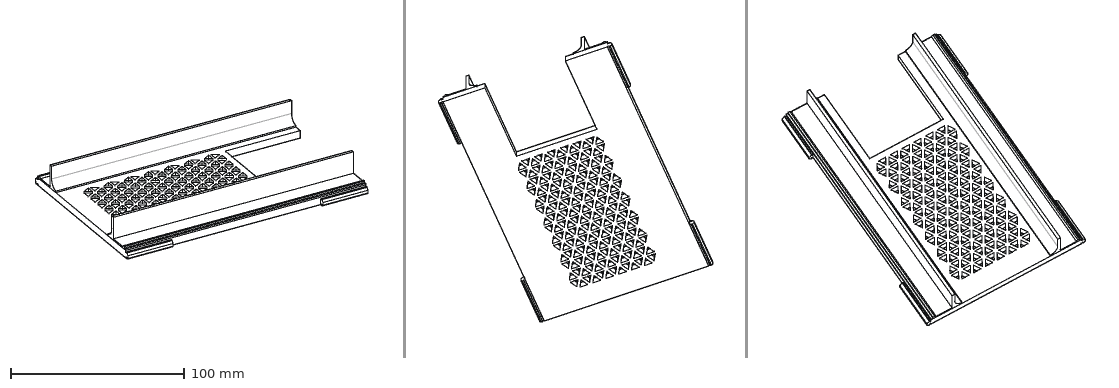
import cadquery as cq
import math

length = 160.0
overall_width = 107.5
overall_height = 20.0
plate_width = 102.0
plate_thickness = 5.0

slot_width = 50.0
slot_depth = 50.0

bead_length = 30.0
bead_nose_bottom = 1.0
bead_nose_top = 2.7
bead_root_top = 3.7
bead_crest = 4.5
bead_root_bottom = 0.5

hole_side = 4.8
hole_height = hole_side * math.sqrt(3) / 2
column_pitch = 8.0
up_columns = 7
first_column_x = -23.0
row_count = 14
row_height = 5.1
lattice_height = 92.0
row_pitch = (lattice_height - row_height) / (row_count - 1)
lattice_top_y = 26.0

flange_thickness = 1.0
wall_outer_x = 36.8
wall_thickness = 2.0
foot_width = 5.0
foot_radius = 5.8
ridge_outer_x = 49.8
ridge_height = 1.0
ridge_top_width = 1.2


def make_bead(side, y_start):
    """Snap bead on one long edge; side is +1 for the +X edge and -1 for the -X edge."""
    root_x = plate_width / 2
    nose_x = overall_width / 2
    crest_x = nose_x - (bead_crest - bead_nose_top)
    profile = [
        (root_x, bead_root_bottom),
        (crest_x, bead_root_bottom),
        (crest_x, 0),
        (nose_x - bead_nose_bottom, 0),
        (nose_x, bead_nose_bottom),
        (nose_x, bead_nose_top),
        (crest_x, bead_crest),
        (crest_x, bead_root_top),
        (root_x, bead_root_top),
    ]
    return (
        cq.Workplane("XZ", origin=(0, y_start, 0))
        .polyline([(side * x, z) for x, z in profile])
        .close()
        .extrude(-bead_length)
    )


def make_triangle_cutter(x, base_y, direction):
    """Triangular prism through the plate; direction is +1 to point to +Y and -1 to -Y."""
    return (
        cq.Workplane("XY")
        .polyline([
            (x - hole_side / 2, base_y),
            (x + hole_side / 2, base_y),
            (x, base_y + direction * hole_height),
        ])
        .close()
        .extrude(plate_thickness)
        .val()
    )


def make_lattice_cutters():
    """All vent holes; even rows start with an upward triangle and odd rows with a downward one."""
    cutters = []
    for row in range(row_count):
        row_top = lattice_top_y - row * row_pitch
        for step in range(2 * up_columns - 1):
            x = first_column_x + step * column_pitch / 2
            if (row + step) % 2 == 0:
                cutters.append(make_triangle_cutter(x, row_top - row_height, 1))
            else:
                cutters.append(make_triangle_cutter(x, row_top, -1))
    return cq.Compound.makeCompound(cutters)


def make_plate():
    plate = cq.Workplane("XY").box(plate_width, length, plate_thickness, centered=(True, True, False))
    slot = (
        cq.Workplane("XY", origin=(0, (length - slot_depth) / 2, 0))
        .box(slot_width, slot_depth, plate_thickness, centered=(True, True, False))
    )
    plate = plate.cut(slot)
    for side in (-1, 1):
        for y_start in (-length / 2, length / 2 - bead_length):
            plate = plate.union(make_bead(side, y_start))
    return plate.cut(cq.Workplane(make_lattice_cutters()))


def make_rail(side):
    """Rail lying on the plate; side is +1 for the +X rail and -1 for the -X rail."""
    flange_top = plate_thickness + flange_thickness
    rail_outer_x = plate_width / 2
    ridge_inner_x = ridge_outer_x - ridge_top_width
    wall_inner_x = wall_outer_x - wall_thickness
    rail_inner_x = wall_inner_x - foot_width
    foot_angle = math.acos((foot_radius - foot_width) / foot_radius)
    arc_center_x = wall_inner_x - foot_radius
    arc_center_z = flange_top + foot_radius * math.sin(foot_angle)
    arc_middle_x = arc_center_x + foot_radius * math.cos(foot_angle / 2)
    arc_middle_z = arc_center_z - foot_radius * math.sin(foot_angle / 2)
    return (
        cq.Workplane("XZ", origin=(0, -length / 2, 0))
        .moveTo(side * rail_inner_x, plate_thickness)
        .lineTo(side * rail_outer_x, plate_thickness)
        .lineTo(side * rail_outer_x, flange_top)
        .lineTo(side * ridge_outer_x, flange_top)
        .lineTo(side * ridge_outer_x, flange_top + ridge_height)
        .lineTo(side * ridge_inner_x, flange_top + ridge_height)
        .lineTo(side * (ridge_inner_x - ridge_height), flange_top)
        .lineTo(side * wall_outer_x, flange_top)
        .lineTo(side * wall_outer_x, overall_height)
        .lineTo(side * wall_inner_x, overall_height)
        .lineTo(side * wall_inner_x, arc_center_z)
        .threePointArc(
            (side * arc_middle_x, arc_middle_z),
            (side * rail_inner_x, flange_top),
        )
        .close()
        .extrude(-length)
    )


plate = make_plate()
rails = [make_rail(side) for side in (-1, 1)]

result = cq.Compound.makeCompound([plate.val(), *[rail.val() for rail in rails]])